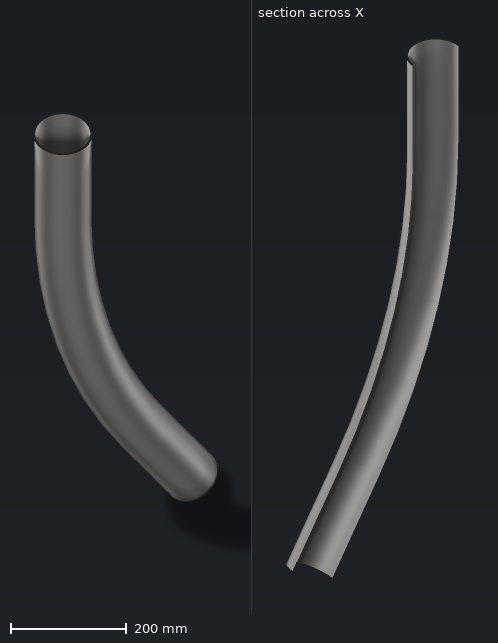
import cadquery as cq
import math

overall_height = 1014.0
outer_diameter = 101.0
inner_diameter = 97.0
straight_length = 203.0
bend_angle = math.radians(30)

outer_radius = outer_diameter / 2
straight_height = straight_length * (1 + math.cos(bend_angle))
rim_height = outer_radius * math.sin(bend_angle)
bend_radius = (overall_height - straight_height - rim_height) / math.sin(bend_angle)


def bend_point(angle):
    """Centreline point (Y, Z) after turning by angle below the upper straight end."""
    y = bend_radius * (1 - math.cos(angle))
    z = -straight_length - bend_radius * math.sin(angle)
    return y, z


bend_end_y, bend_end_z = bend_point(bend_angle)
lower_end = (
    bend_end_y + straight_length * math.sin(bend_angle),
    bend_end_z - straight_length * math.cos(bend_angle),
)
centreline = (
    cq.Workplane("YZ")
    .lineTo(0, -straight_length)
    .threePointArc(bend_point(bend_angle / 2), (bend_end_y, bend_end_z))
    .lineTo(*lower_end)
)

pipe_section = cq.Workplane("XY").circle(outer_radius).circle(inner_diameter / 2)
result = pipe_section.sweep(centreline)